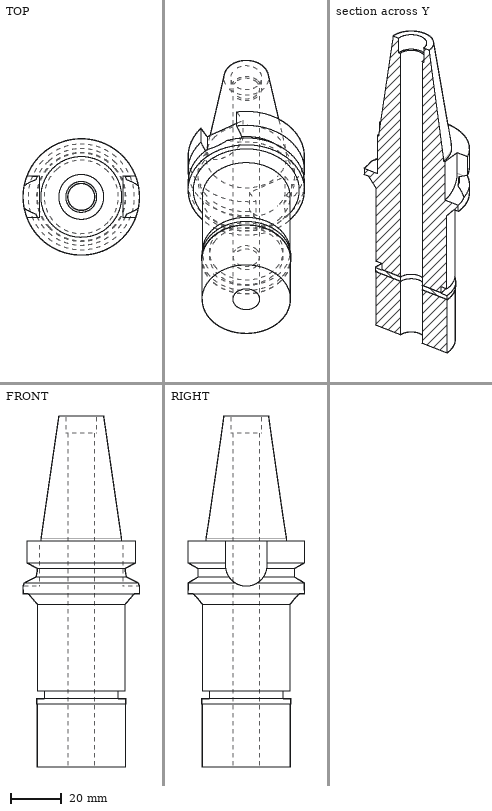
import cadquery as cq

total_height = 138.4
nut_height = 24.9
ring_top = 27.0
neck_top = 29.9
body_top = 64.1
lower_flange_bottom = 68.2
lower_flange_top = 72.5
groove_bottom = 74.9
groove_top = 78.2
upper_flange_bottom = 80.4
upper_flange_top = 89.1
taper_bottom = 90.0

nut_radius = 17.5
ring_radius = 17.6
neck_radius = 14.5
body_radius = 17.3
flange_radius = 23.0
flange_cone_radius = 20.9
groove_radius = 19.1
taper_base_radius = 15.9
taper_tip_radius = 8.9

bore_radius = 5.3
counterbore_radius = 6.1
counterbore_depth = 6.8

slot_width = 16.3
slot_bottom = 71.3
slot_floor_distance = 16.5


def make_tube(bottom, top, outer_radius):
    """Plain cylinder with the through bore."""
    return (
        cq.Workplane("XY")
        .workplane(offset=bottom)
        .circle(outer_radius)
        .circle(bore_radius)
        .extrude(top - bottom)
    )


def make_drive_slot(side):
    """Cutter open at the flange top and the rim, with a half-round bottom; side is -1 or +1."""
    half_width = slot_width / 2
    arc_center_height = slot_bottom + half_width
    return (
        cq.Workplane("YZ")
        .workplane(offset=side * slot_floor_distance)
        .moveTo(-half_width, upper_flange_top)
        .lineTo(-half_width, arc_center_height)
        .threePointArc((0, slot_bottom), (half_width, arc_center_height))
        .lineTo(half_width, upper_flange_top)
        .close()
        .extrude(side * flange_radius)
    )


def make_holder():
    """Taper shank, grooved flange, body and neck turned as one piece."""
    profile = [
        (bore_radius, ring_top),
        (neck_radius, ring_top),
        (neck_radius, neck_top),
        (body_radius, neck_top),
        (body_radius, body_top),
        (flange_cone_radius, lower_flange_bottom),
        (flange_radius, lower_flange_bottom),
        (flange_radius, lower_flange_top),
        (groove_radius, groove_bottom),
        (groove_radius, groove_top),
        (flange_radius, upper_flange_bottom),
        (flange_radius, upper_flange_top),
        (taper_base_radius, upper_flange_top),
        (taper_base_radius, taper_bottom),
        (taper_tip_radius, total_height),
        (counterbore_radius, total_height),
        (counterbore_radius, total_height - counterbore_depth),
        (bore_radius, total_height - counterbore_depth),
    ]
    holder = cq.Workplane("XZ").polyline(profile).close().revolve(360, (0, 0, 0), (0, 1, 0))
    for side in (-1, 1):
        holder = holder.cut(make_drive_slot(side))
    return holder


holder = make_holder()
ring = make_tube(nut_height, ring_top, ring_radius)
nut = make_tube(0, nut_height, nut_radius)

result = cq.Compound.makeCompound([holder.val(), ring.val(), nut.val()])